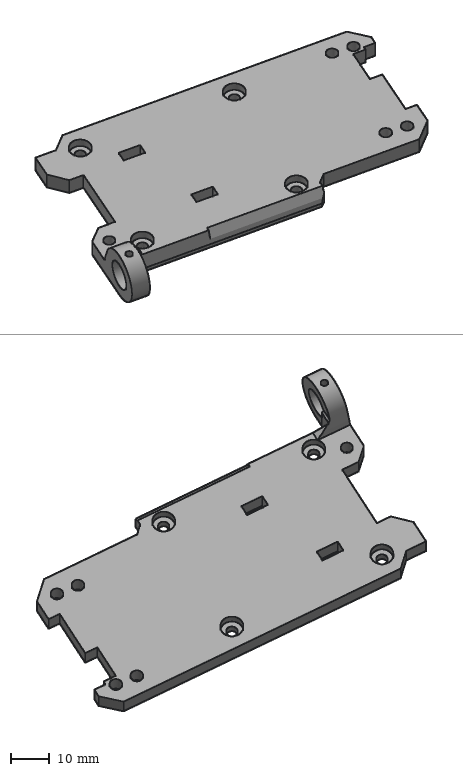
import cadquery as cq
import math

LENGTH = 96.35
THICK = 4.9
WIDE = 48.2
NARROW = 42.1
STRIP_END = 61.9
NOTCH_FLOOR = 8.4

LUG_RADIUS = 7.4
OVERALL_WIDTH = 60.0
LUG_X = OVERALL_WIDTH - LUG_RADIUS
LUG_Z = LUG_RADIUS
LUG_DEPTH = 5.2
BORE_DIA = 8.1
PIN_DIA = 1.9
PIN_X = LUG_X + 0.5
GUSSET_TOP = 9.3
FLANK_TOP_X = LUG_X - math.sqrt(LUG_RADIUS**2 - (GUSSET_TOP - LUG_Z) ** 2)
FLANK = [(44.0, THICK), (44.2, 5.5), (44.5, 6.6), (FLANK_TOP_X, GUSSET_TOP)]
GUSSET_RIGHT = 48.8

LONG_BEVEL_X = 46.6
LONG_BEVEL_ANGLE = 67
LONG_BEVEL_START = 5.8
SHORT_BEVEL_X = 45.7
SHORT_BEVEL_ANGLE = 50
SHORT_BEVEL_START = 28.7

SCREW_DIA = 3.0
SCREW_HEAD_DIA = 6.0
SCREW_HEAD_DEPTH = 2.5
SCREWS = [(x, y) for x in (6.1, 42.1) for y in (11.85, 56.2)]
TAIL_DIA = 3.3
TAIL_HOLES = [(5.5, 90.8), (36.6, 90.8), (5.1, 84.8), (36.2, 84.8)]
FRONT_DIA = 3.1
FRONT_HOLE = (38.4, 4.1)
SLOT_WIDTH = 3.0
SLOT_LENGTH = 6.2
SLOTS = [(13.5, 23.0), (34.9, 33.3)]

OVERSHOOT = 9.6


def make_plate():
    outline = [
        (3.95, 0), (10.6, 0), (14.9, 4.3), (14.9, NOTCH_FLOOR), (33.2, NOTCH_FLOOR), (33.2, 3.6),
        (36.8, 0), (WIDE, 0), (WIDE, STRIP_END - 1.35), (WIDE - 1.35, STRIP_END),
        (44.3, STRIP_END), (NARROW, 64.0), (NARROW, 91.5), (37.2, LENGTH),
        (31.0, LENGTH), (31.0, 93.1), (17.5, 93.1), (17.5, 89.5), (7.8, 89.5), (7.8, 93.1),
        (6.8, 93.1), (6.8, LENGTH), (4.5, LENGTH), (0, 91.5), (0, 9.7), (3.95, 5.9),
    ]
    return cq.Workplane("XY").polyline(outline).close().extrude(THICK)


def make_gusset():
    """Block under the lug flank, sloping down at 45 degrees behind the lug."""
    reach = LUG_DEPTH + GUSSET_TOP - FLANK[0][1]
    block = (
        cq.Workplane("XZ")
        .polyline([(FLANK[0][0], 0), *FLANK, (GUSSET_RIGHT, GUSSET_TOP), (GUSSET_RIGHT, 0)])
        .close()
        .extrude(-reach)
    )
    slope = (
        cq.Workplane("YZ")
        .polyline([(LUG_DEPTH, GUSSET_TOP), (reach, FLANK[0][1]), (reach, GUSSET_TOP)])
        .close()
        .extrude(LUG_X)
    )
    return block.cut(slope)


def make_lug():
    rim = cq.Workplane("XZ").center(LUG_X, LUG_Z).circle(LUG_RADIUS).extrude(-LUG_DEPTH)
    web = (
        cq.Workplane("XZ")
        .polyline([(FLANK[0][0], 0), *FLANK, (LUG_X, GUSSET_TOP), (LUG_X, 0)])
        .close()
        .extrude(-LUG_DEPTH)
    )
    return rim.union(web)


def bevel(edge_x, angle, start, end):
    """Wedge that removes all to the right of a plane falling from the plate's top edge."""
    run = OVERSHOOT / math.tan(math.radians(angle))
    return (
        cq.Workplane("XZ", origin=(0, start, 0))
        .polyline([
            (edge_x - run, THICK + OVERSHOOT),
            (edge_x + run, THICK - OVERSHOOT),
            (WIDE + OVERSHOOT, THICK - OVERSHOOT),
            (WIDE + OVERSHOOT, THICK + OVERSHOOT),
        ])
        .close()
        .extrude(start - end)
    )


result = make_plate().union(make_gusset())
result = result.cut(bevel(LONG_BEVEL_X, LONG_BEVEL_ANGLE, LONG_BEVEL_START, LENGTH))
result = result.cut(bevel(SHORT_BEVEL_X, SHORT_BEVEL_ANGLE, SHORT_BEVEL_START, LENGTH))
side_trim = cq.Workplane("XY").box(OVERSHOOT, LENGTH, OVERSHOOT * 2, centered=False)
result = result.cut(side_trim.translate((WIDE, LONG_BEVEL_START, 0)))
result = result.union(make_lug())

bore = cq.Workplane("XZ").center(LUG_X, LUG_Z).circle(BORE_DIA / 2).extrude(-2 * OVERSHOOT)
pin = (
    cq.Workplane("XY", origin=(PIN_X, LUG_DEPTH / 2, LUG_Z))
    .circle(PIN_DIA / 2)
    .extrude(LUG_RADIUS + OVERSHOOT)
)
result = result.cut(bore).cut(pin)

top = cq.Workplane("XY", origin=(0, 0, THICK))
result = result.cut(top.pushPoints(SCREWS).circle(SCREW_DIA / 2).extrude(-THICK))
result = result.cut(top.pushPoints(SCREWS).circle(SCREW_HEAD_DIA / 2).extrude(-SCREW_HEAD_DEPTH))
result = result.cut(top.pushPoints(TAIL_HOLES).circle(TAIL_DIA / 2).extrude(-THICK))
result = result.cut(top.pushPoints([FRONT_HOLE]).circle(FRONT_DIA / 2).extrude(-THICK))
result = result.cut(top.pushPoints(SLOTS).rect(SLOT_WIDTH, SLOT_LENGTH).extrude(-THICK))